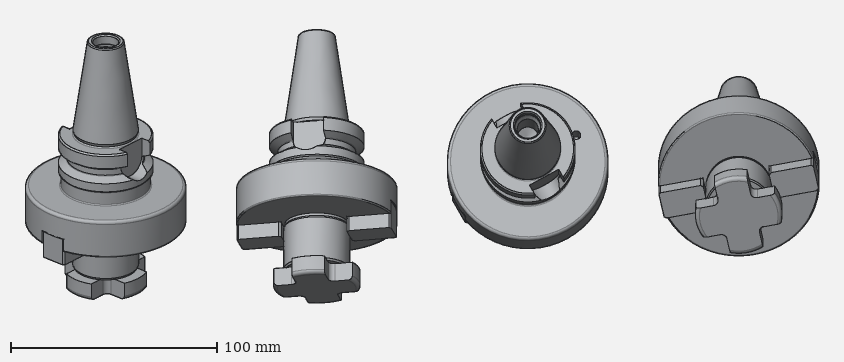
import cadquery as cq
import math

total_height = 131.4
head_height = 9.1
disk_bottom = 33.4
disk_top = 53.0
collar_bottom = 60.3
collar_top = 81.0
taper_base = 83.0

taper_base_diameter = 31.9
taper_base_radius = taper_base_diameter / 2
taper_slope = 7 / 48
taper_top_chamfer = 0.5
taper_relief_depth = 0.5
taper_root_fillet = 0.7
bore_radius = 6.3
bore_depth = 7.0
bore_mouth_chamfer = 0.7
bore_relief_height = 2.1
bore_relief_depth = 0.4
thread_radius = 5.1
thread_length = 17.1
thread_lead_in_angle = 60
drill_point_angle = 118

collar_radius = 23.0
collar_top_chamfer = 0.8
collar_bottom_chamfer = 0.7
groove_fillet = 0.4
groove_radius = 18.9
groove_floor_bottom = 67.7
groove_floor_top = 71.2
groove_flank_angle = 30
slot_width = 16.2
slot_floor_distance = 16.3
slot_bottom = 63.6

neck_radius = 21.8
neck_fillet = 0.5
disk_radius = 39.0
disk_top_fillet = 1.6
disk_bottom_fillet = 0.7
pin_hole_radius = 2.1
pin_hole_distance = 27.0

key_width = 14.0
key_inner_distance = 16.3
key_outer_distance = 38.2
key_bottom = 26.0
key_top = 40.2
key_outer_chamfer = 0.9
key_inner_chamfer = 1.2

arbor_radius = 16.0
arbor_relief_depth = 0.5
arbor_relief_height = 1.3
arbor_relief_taper = 0.9
arbor_end_chamfer_depth = 0.5
arbor_end_chamfer_height = 1.0
head_radius = 21.0
head_edge_fillet = 2.0
arm_width = 16.2
arm_corner_fillet = 2.8


def revolve_outline(points):
    """Turn a closed outline of (radius, height) points about the Z axis."""
    return cq.Workplane("XZ").polyline(points).close().revolve(360, (0, 0, 0), (0, 1, 0))


def make_taper():
    """Tool taper with a narrow undercut at its root, rounded out onto the collar."""
    top_radius = taper_base_radius - taper_slope * (total_height - taper_base)
    relief_radius = taper_base_radius - taper_relief_depth
    return (
        cq.Workplane("XZ")
        .moveTo(0, collar_top)
        .lineTo(relief_radius + taper_root_fillet, collar_top)
        .radiusArc((relief_radius, collar_top + taper_root_fillet), taper_root_fillet)
        .lineTo(taper_base_radius, taper_base)
        .lineTo(top_radius + taper_slope * taper_top_chamfer, total_height - taper_top_chamfer)
        .lineTo(top_radius - taper_top_chamfer, total_height)
        .lineTo(0, total_height)
        .close()
        .revolve(360, (0, 0, 0), (0, 1, 0))
    )


def make_taper_bore():
    """Bore with a conical lead-in to a blind thread hole that ends in a drill point."""
    lead_in_depth = (bore_radius - thread_radius) / math.tan(math.radians(thread_lead_in_angle / 2))
    point_depth = thread_radius / math.tan(math.radians(drill_point_angle / 2))
    bore_floor = total_height - bore_depth
    thread_top = bore_floor - lead_in_depth
    thread_bottom = thread_top - thread_length
    return revolve_outline([
        (0, total_height),
        (bore_radius + bore_mouth_chamfer, total_height),
        (bore_radius, total_height - bore_mouth_chamfer),
        (bore_radius, bore_floor + bore_relief_height),
        (bore_radius + bore_relief_depth, bore_floor + bore_relief_height - bore_relief_depth),
        (bore_radius + bore_relief_depth, bore_floor + bore_relief_depth),
        (bore_radius, bore_floor),
        (thread_radius, thread_top),
        (thread_radius, thread_bottom),
        (0, thread_bottom - point_depth),
    ])


def make_drive_slot():
    """Round-bottomed slot cut into the +X side of the collar."""
    radius = slot_width / 2
    arc_center = slot_bottom + radius
    depth = collar_radius - slot_floor_distance
    return (
        cq.Workplane("YZ", origin=(slot_floor_distance, 0, 0))
        .moveTo(-radius, collar_top)
        .lineTo(-radius, arc_center)
        .threePointArc((0, slot_bottom), (radius, arc_center))
        .lineTo(radius, collar_top)
        .close()
        .extrude(depth)
    )


def make_collar():
    flank_height = (collar_radius - groove_radius) * math.tan(math.radians(groove_flank_angle))
    collar = revolve_outline([
        (0, collar_bottom),
        (collar_radius - collar_bottom_chamfer, collar_bottom),
        (collar_radius, collar_bottom + collar_bottom_chamfer),
        (collar_radius, groove_floor_bottom - flank_height),
        (groove_radius, groove_floor_bottom),
        (groove_radius, groove_floor_top),
        (collar_radius, groove_floor_top + flank_height),
        (collar_radius, collar_top - collar_top_chamfer),
        (collar_radius - collar_top_chamfer, collar_top),
        (0, collar_top),
    ])
    groove_zone = cq.selectors.BoxSelector(
        (-collar_radius, -collar_radius, groove_floor_bottom - groove_fillet),
        (collar_radius, collar_radius, groove_floor_top + groove_fillet),
    )
    collar = collar.edges("%CIRCLE").edges(groove_zone).fillet(groove_fillet)
    slot = make_drive_slot()
    for angle in (0, 180):
        collar = collar.cut(slot.rotate((0, 0, 0), (0, 0, 1), angle))
    return collar


def make_neck():
    """Neck that flares into the disk below it and the collar above it."""
    flare_radius = neck_radius + neck_fillet
    return (
        cq.Workplane("XZ")
        .moveTo(0, disk_top)
        .lineTo(flare_radius, disk_top)
        .radiusArc((neck_radius, disk_top + neck_fillet), neck_fillet)
        .lineTo(neck_radius, collar_bottom - neck_fillet)
        .radiusArc((flare_radius, collar_bottom), neck_fillet)
        .lineTo(0, collar_bottom)
        .close()
        .revolve(360, (0, 0, 0), (0, 1, 0))
    )


def make_disk():
    disk = cq.Workplane("XY", origin=(0, 0, disk_bottom)).circle(disk_radius).extrude(disk_top - disk_bottom)
    disk = disk.edges(">Z").fillet(disk_top_fillet).edges("<Z").fillet(disk_bottom_fillet)
    pin_hole = (
        cq.Workplane("XY", origin=(0, pin_hole_distance, key_top))
        .circle(pin_hole_radius)
        .extrude(disk_top - key_top)
    )
    return disk.cut(pin_hole)


def make_key_block(outer_distance, height):
    """Rectangular block on the +Y side, hanging down from the key seat."""
    length = outer_distance - key_inner_distance
    return (
        cq.Workplane("XY", origin=(0, key_inner_distance + length / 2, key_top - height))
        .rect(key_width, length)
        .extrude(height)
    )


def fit_drive_keys(body):
    seat = make_key_block(disk_radius, key_top - disk_bottom)
    key = make_key_block(key_outer_distance, key_top - key_bottom)
    key = key.faces(">Y").edges("|Z").chamfer(key_outer_chamfer)
    key = key.faces("<Y").edges("|Z").chamfer(key_inner_chamfer)
    for angle in (0, 180):
        body = body.cut(seat.rotate((0, 0, 0), (0, 0, 1), angle))
        body = body.union(key.rotate((0, 0, 0), (0, 0, 1), angle))
    return body


def make_arbor():
    relief_radius = arbor_radius - arbor_relief_depth
    relief_bottom = disk_bottom - arbor_relief_height
    return revolve_outline([
        (0, head_height),
        (arbor_radius - arbor_end_chamfer_depth, head_height),
        (arbor_radius, head_height + arbor_end_chamfer_height),
        (arbor_radius, relief_bottom - arbor_relief_taper),
        (relief_radius, relief_bottom),
        (relief_radius, disk_bottom),
        (0, disk_bottom),
    ])


def make_screw_head():
    head = cq.Workplane("XY").circle(head_radius).extrude(head_height).edges("<Z").fillet(head_edge_fillet)
    cross = (
        cq.Workplane("XY")
        .rect(2 * head_radius, arm_width)
        .extrude(head_height)
        .union(cq.Workplane("XY").rect(arm_width, 2 * head_radius).extrude(head_height))
    )
    inner_corners = cq.selectors.BoxSelector((-arm_width, -arm_width, 0), (arm_width, arm_width, head_height))
    cross = cross.edges(inner_corners).edges("|Z").fillet(arm_corner_fillet)
    return head.intersect(cross)


body = make_disk().union(make_neck()).union(make_collar()).union(make_taper()).union(make_arbor())
body = body.union(make_screw_head()).cut(make_taper_bore())
result = fit_drive_keys(body)